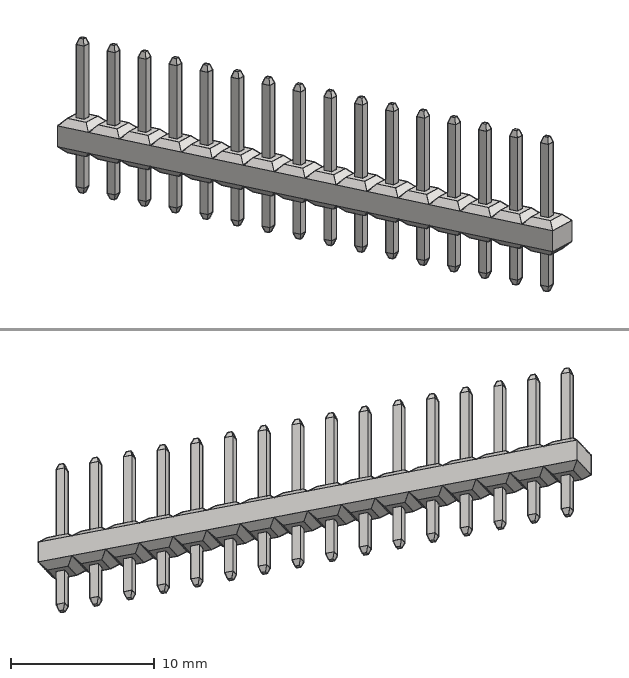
import cadquery as cq

PIN_COUNT = 16
ROW_LENGTH = 40.65
PITCH = ROW_LENGTH / PIN_COUNT

BODY_WIDTH = PITCH
BODY_HEIGHT = PITCH
CAP_SIDE = 1.55
BEVEL = (PITCH - CAP_SIDE) / 2
BAND_HEIGHT = BODY_HEIGHT - 2 * BEVEL

PIN_SIDE = 0.65
PIN_LENGTH_ABOVE = 5.85
PIN_LENGTH_BELOW = 3.0
TIP_HEIGHT = 0.45
TIP_SIDE = 0.33

PIN_TOP = BODY_HEIGHT / 2 + PIN_LENGTH_ABOVE
PIN_BOTTOM = -BODY_HEIGHT / 2 - PIN_LENGTH_BELOW


def frustum(base_x, base_y, end_x, end_y, base_z, end_z):
    """Rectangular frustum on the Z axis, from its base up or down to its end."""
    return (
        cq.Workplane("XY")
        .workplane(offset=base_z)
        .rect(base_x, base_y)
        .workplane(offset=end_z - base_z)
        .rect(end_x, end_y)
        .loft(ruled=True, combine=True)
    )


def cell_cap(side):
    """Bevelled cap of one cell; side is 1 for the top and -1 for the bottom."""
    return frustum(
        PITCH,
        BODY_WIDTH,
        CAP_SIDE,
        CAP_SIDE,
        side * BAND_HEIGHT / 2,
        side * BODY_HEIGHT / 2,
    )


def pin():
    """One full-length pin, tapered at both ends."""
    shank_top = PIN_TOP - TIP_HEIGHT
    shank_bottom = PIN_BOTTOM + TIP_HEIGHT
    shank = (
        cq.Workplane("XY")
        .workplane(offset=shank_bottom)
        .rect(PIN_SIDE, PIN_SIDE)
        .extrude(shank_top - shank_bottom)
    )
    upper_tip = frustum(PIN_SIDE, PIN_SIDE, TIP_SIDE, TIP_SIDE, shank_top, PIN_TOP)
    lower_tip = frustum(PIN_SIDE, PIN_SIDE, TIP_SIDE, TIP_SIDE, shank_bottom, PIN_BOTTOM)
    return shank.union(upper_tip).union(lower_tip)


cell = cell_cap(1).union(cell_cap(-1)).union(pin())
result = cq.Workplane("XY").box(ROW_LENGTH, BODY_WIDTH, BAND_HEIGHT)
for index in range(PIN_COUNT):
    cell_x = (index - (PIN_COUNT - 1) / 2) * PITCH
    result = result.union(cell.translate((cell_x, 0, 0)))
result = result.clean()